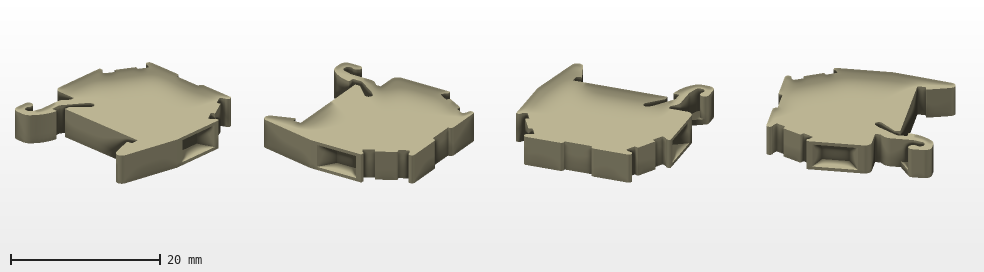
import cadquery as cq
import math

coincident = 2.3e-07

width = 22.2
depth = 23.0
thickness = 4.2

recess_floor_y = 22.4
shoulder_y = 16.95
flank_bottom_y = 8.85
body_underside_y = 8.19
rail_face_y = 5.01
corner_radius = 1.0

arm_outer_x = 2.71
arm_inner_x = 3.77
hook_nose_radius = 0.62
hook_nose_y = 2.55
web_height = 0.83
web_base_y = 0.7
web_left_x = 0.3
web_right_x = 3.08
web_arm_y = 4.55
hook_nose_width = 2 * hook_nose_radius
hook_nose_top_y = hook_nose_y + hook_nose_radius

slot_mouth_x = 5.01
slot_kink_x = 5.75
slot_end_x = 6.67
slot_end_y = 8.2
slot_radius = 0.55

foot_inner_x = 18.58
foot_tip_radius = 0.8

pocket_depth = 2.44
pocket_wall = 0.45
pocket_height = thickness - 2 * pocket_wall
pocket_mouth_low_y = 9.91
pocket_mouth_high_y = 16.1
pocket_end_low_y = 11.5
pocket_end_high_y = 15.18


def direction(start, end):
    """Unit vector from one (x, y, radius) corner to another."""
    return cq.Vector(end[0] - start[0], end[1] - start[1]).normalized()


def rounded_outline(corners):
    """Closed wire through (x, y, radius) corners, each rounded by a tangent arc."""
    arcs = []
    for i, (x, y, radius) in enumerate(corners):
        corner = cq.Vector(x, y)
        before = direction(corners[i], corners[i - 1])
        after = direction(corners[i], corners[(i + 1) % len(corners)])
        half_angle = before.getAngle(after) / 2
        setback = radius / math.tan(half_angle)
        bisector = (before + after).normalized()
        middle = corner + bisector * (radius / math.sin(half_angle) - radius)
        arcs.append((corner + before * setback, middle, corner + after * setback))

    edges = []
    for i, (start, middle, end) in enumerate(arcs):
        previous_end = arcs[i - 1][2]
        if (start - previous_end).Length > coincident:
            edges.append(cq.Edge.makeLine(previous_end, start))
        if corners[i][2] > 0:
            edges.append(cq.Edge.makeThreePointArc(start, middle, end))
    return cq.Wire.assembleEdges(edges)


def prism(corners, height):
    """Solid raised from Z = 0 over a rounded outline."""
    solid = cq.Solid.extrudeLinear(rounded_outline(corners), [], cq.Vector(0, 0, height))
    return cq.Workplane(solid)


def mirrored(corners):
    """The same corners on the other side of the body's centre line, in reverse order."""
    return [(width - x, y, radius) for x, y, radius in reversed(corners)]


shoulder = [
    (9.15, recess_floor_y, 0),
    (9.15, depth, 0.5),
    (3.35, depth, 0.44),
    (3.35, 22.13, 0.41),
    (3.86, 22.13, 0),
    (4.55, 21.75, 0.25),
    (3.77, 20.38, 0.18),
    (3.25, 20.63, 0.18),
    (1.75, 18.0, 0),
    (2.25, 17.7, 0.12),
    (1.38, 16.22, 0.18),
    (0.74, 16.63, 0),
    (0.58, shoulder_y, 0.12),
    (0, shoulder_y, 0.15),
]

arm_outside = [
    (0, body_underside_y, corner_radius),
    (3.63, body_underside_y, 0),
    (3.63, 7.48, 0),
    (arm_outer_x, 6.55, 1.5),
]

hook = [
    (arm_outer_x, 2.83, 0),
    (2.18, 1.15, 0.58),
    (1.01, 1.15, 0.55),
    (1.01, 1.98, 0),
    (hook_nose_width, 2.2, 0.12),
    (hook_nose_width, hook_nose_top_y, hook_nose_radius),
    (0, hook_nose_top_y, hook_nose_radius),
    (0, 0, corner_radius),
    (2.58, 0, 1.38),
    (4.35, 1.77, 5.75),
    (4.67, 3.85, 0.1),
    (arm_inner_x, 3.85, 0.1),
]

slot_corner_offset = slot_radius * math.sqrt(2)
slot = [
    (arm_inner_x, 5.27, 0),
    (slot_kink_x, slot_end_y + slot_corner_offset - (slot_end_x - slot_kink_x), 0),
    (slot_end_x, slot_end_y + slot_corner_offset, slot_radius),
    (slot_end_x + slot_corner_offset, slot_end_y, slot_radius),
    (slot_mouth_x, slot_end_y - slot_corner_offset - (slot_end_x - slot_mouth_x), 0),
    (slot_mouth_x, rail_face_y, 0),
]

foot = [
    (foot_inner_x, rail_face_y, 0),
    (foot_inner_x, 3.89, 0),
    (17.8, 3.73, 0.07),
    (19.8, -2.2, foot_tip_radius),
    (width, flank_bottom_y, 0),
]

body = prism(shoulder + arm_outside + hook + slot + foot + mirrored(shoulder), thickness)

web = prism(
    [
        (arm_outer_x, web_arm_y, 0),
        (web_left_x, 3.08, 0),
        (web_left_x, web_base_y, 0),
        (web_right_x, web_base_y, 0),
        (web_right_x, web_arm_y, 0),
    ],
    web_height,
)

left_pocket = [
    (0, pocket_mouth_high_y, 0),
    (pocket_depth, pocket_end_high_y, 0),
    (pocket_depth, pocket_end_low_y, 0),
    (0, pocket_mouth_low_y, 0),
]
result = body.union(web)
for pocket_outline in (left_pocket, mirrored(left_pocket)):
    pocket = prism(pocket_outline, pocket_height).translate((0, 0, pocket_wall))
    result = result.cut(pocket)